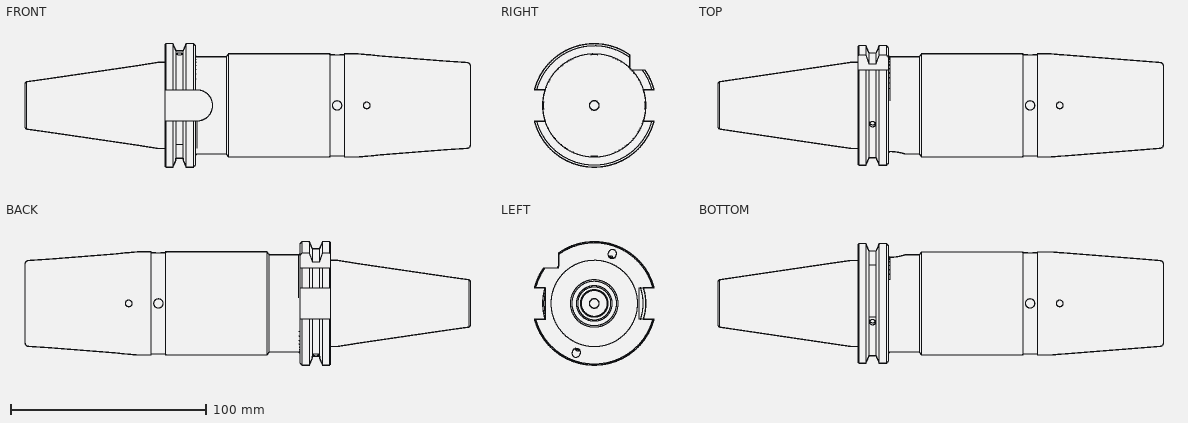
import cadquery as cq
import math


GAUGE_X = 68.3
GAUGE_RADIUS = 22.2
DIAMETER_TAPER = 7 / 24
SHANK_END_RADIUS = GAUGE_RADIUS - GAUGE_X * DIAMETER_TAPER / 2
SHANK_END_CHAMFER = 0.8

FLANGE_FRONT_X = 71.7
FLANGE_REAR_X = 87.5
FLANGE_RADIUS = 31.7
FLANGE_FRONT_CHAMFER = 0.7
FLANGE_REAR_CHAMFER = 1.1
GRIP_X = 79.3
GRIP_TOP_HALF_WIDTH = 3.5
GRIP_FLOOR_HALF_WIDTH = 1.8
GRIP_FLOOR_RADIUS = 28.0

NECK_RADIUS = 50.0 / 2
NECK_FILLET = 0.7
SHOULDER_X = 103.2
SHOULDER_LENGTH = 1.1
CHUCK_RADIUS = 26.5
BALANCE_GROOVE_X = (156.2, 163.8)
BALANCE_GROOVE_RADIUS = 26.0
NOSE_START_X = 170.6
NOSE_END_RADIUS = 22.0
LENGTH = 228.5
NOSE_FILLET = 2.0

SLOT_HALF_WIDTH = 8.0
SHALLOW_SLOT_Y = NECK_RADIUS
DEEP_SLOT_Y = 22.8
SLOT_END_X = 96.2
NOTCH_CORNER = 18.3

FLAT_ANGLE = 75.0
FLAT_DISTANCE = 24.5

ENTRY_BORE_RADIUS = 8.5
ENTRY_BORE_DEPTH = 9.5
ENTRY_CHAMFER = 0.7
BORE_RADIUS = 6.6
BORE_CHAMFER = 0.5
BORE_DEPTH = 114.2
COOLANT_BORE_RADIUS = 4.8 / 2
ADJUSTING_SCREW_LENGTH = 9.1

CHANNEL_RADIUS = 2.0
CHANNEL_PITCH_RADIUS = 27.0
CHANNEL_SLOPE = 30.0
CHANNEL_OVERRUN = 2.3
CHANNEL_TURNS = (20.0, 200.0)
CHANNEL_PLUG_RADIUS = 1.48
CHANNEL_PLUG_TOP = 25.1
CHANNEL_PLUG_BOTTOM = 20.5

QUARTER_TURNS = (0.0, 90.0, 180.0, 270.0)
BALANCE_HOLE_X = sum(BALANCE_GROOVE_X) / 2
BALANCE_HOLE_RADIUS = 4.8 / 2
BALANCE_HOLE_FLOOR = 20.5
DRILL_HALF_ANGLE = 59.0
PIN_X = 175.2
PIN_RADIUS = 1.71
PIN_FLOOR = 20.5
PIN_TOP = 25.4

SELECTION_MARGIN = 0.11


def turned_about_x(body, turn):
    """Turn a shape about the X axis; a turn of 0 leaves +Z up, a turn of 90 brings it to -Y."""
    return body.rotate((0, 0, 0), (1, 0, 0), turn)


def x_cylinder(radius, start_x, end_x):
    return cq.Workplane("YZ", origin=(start_x, 0, 0)).circle(radius).extrude(end_x - start_x)


def radial_cylinder(x, radius, bottom, top):
    """Cylinder along +Z between two distances from the X axis."""
    return cq.Workplane("XY", origin=(x, 0, bottom)).circle(radius).extrude(top - bottom)


def circle_at(x, radius):
    """Selector for the turned edges at one place along X, up to a given radius."""
    reach = radius + SELECTION_MARGIN
    low = (x - SELECTION_MARGIN, -reach, -reach)
    high = (x + SELECTION_MARGIN, reach, reach)
    return cq.selectors.BoxSelector(low, high, boundingbox=True)


def holder_blank():
    """Turned outside of the holder, from the small end of the taper to the nose."""
    profile = [
        (0, 0),
        (0, SHANK_END_RADIUS - SHANK_END_CHAMFER),
        (SHANK_END_CHAMFER, SHANK_END_RADIUS),
        (GAUGE_X, GAUGE_RADIUS),
        (FLANGE_FRONT_X, GAUGE_RADIUS),
        (FLANGE_FRONT_X, FLANGE_RADIUS - FLANGE_FRONT_CHAMFER),
        (FLANGE_FRONT_X + FLANGE_FRONT_CHAMFER, FLANGE_RADIUS),
        (GRIP_X - GRIP_TOP_HALF_WIDTH, FLANGE_RADIUS),
        (GRIP_X - GRIP_FLOOR_HALF_WIDTH, GRIP_FLOOR_RADIUS),
        (GRIP_X + GRIP_FLOOR_HALF_WIDTH, GRIP_FLOOR_RADIUS),
        (GRIP_X + GRIP_TOP_HALF_WIDTH, FLANGE_RADIUS),
        (FLANGE_REAR_X - FLANGE_REAR_CHAMFER, FLANGE_RADIUS),
        (FLANGE_REAR_X, FLANGE_RADIUS - FLANGE_REAR_CHAMFER),
        (FLANGE_REAR_X, NECK_RADIUS),
        (SHOULDER_X, NECK_RADIUS),
        (SHOULDER_X + SHOULDER_LENGTH, CHUCK_RADIUS),
        (BALANCE_GROOVE_X[0], CHUCK_RADIUS),
        (BALANCE_GROOVE_X[0], BALANCE_GROOVE_RADIUS),
        (BALANCE_GROOVE_X[1], BALANCE_GROOVE_RADIUS),
        (BALANCE_GROOVE_X[1], CHUCK_RADIUS),
        (NOSE_START_X, CHUCK_RADIUS),
        (LENGTH, NOSE_END_RADIUS),
        (LENGTH, 0),
    ]
    blank = cq.Workplane("XY").polyline(profile).close().revolve(360, (0, 0, 0), (1, 0, 0))
    blank = blank.faces(">X").edges().fillet(NOSE_FILLET)
    return blank.edges(circle_at(FLANGE_REAR_X, NECK_RADIUS)).fillet(NECK_FILLET)


def drive_slots():
    """One slot on each side; the deeper one, at -Y, runs into the neck with a round end."""
    width = 2 * SLOT_HALF_WIDTH
    flange_length = FLANGE_REAR_X - FLANGE_FRONT_X
    shallow = cq.Workplane("XY").box(flange_length, FLANGE_RADIUS, width, centered=(False, False, True))
    shallow = shallow.translate((FLANGE_FRONT_X, SHALLOW_SLOT_Y, 0))
    round_x = SLOT_END_X - SLOT_HALF_WIDTH
    deep = (
        cq.Workplane("XZ", origin=(0, -DEEP_SLOT_Y, 0))
        .moveTo(FLANGE_FRONT_X, -SLOT_HALF_WIDTH)
        .lineTo(round_x, -SLOT_HALF_WIDTH)
        .threePointArc((SLOT_END_X, 0), (round_x, SLOT_HALF_WIDTH))
        .lineTo(FLANGE_FRONT_X, SLOT_HALF_WIDTH)
        .close()
        .extrude(FLANGE_RADIUS)
    )
    return shallow.union(deep)


def orientation_notch():
    length = FLANGE_REAR_X - FLANGE_FRONT_X
    notch = cq.Workplane("XY").box(length, FLANGE_RADIUS, FLANGE_RADIUS, centered=False)
    return notch.translate((FLANGE_FRONT_X, NOTCH_CORNER, NOTCH_CORNER))


def grip_flat():
    """Flat across the groove floor, facing down and toward -Y."""
    width = 2 * GRIP_FLOOR_HALF_WIDTH
    flat = cq.Workplane("XY").box(width, 2 * FLANGE_RADIUS, FLANGE_RADIUS, centered=(True, True, False))
    return turned_about_x(flat.translate((GRIP_X, 0, FLAT_DISTANCE)), 90 + FLAT_ANGLE)


def bore():
    """Stepped bore from the small end of the taper; its narrowest step runs through to the nose."""
    profile = [
        (0, 0),
        (0, ENTRY_BORE_RADIUS + ENTRY_CHAMFER),
        (ENTRY_CHAMFER, ENTRY_BORE_RADIUS),
        (ENTRY_BORE_DEPTH, ENTRY_BORE_RADIUS),
        (ENTRY_BORE_DEPTH, BORE_RADIUS + BORE_CHAMFER),
        (ENTRY_BORE_DEPTH + BORE_CHAMFER, BORE_RADIUS),
        (BORE_DEPTH, BORE_RADIUS),
        (BORE_DEPTH, COOLANT_BORE_RADIUS),
        (LENGTH, COOLANT_BORE_RADIUS),
        (LENGTH, 0),
    ]
    return cq.Workplane("XY").polyline(profile).close().revolve(360, (0, 0, 0), (1, 0, 0))


def coolant_channel(turn):
    """Sloping channel from the flange face to the axis of the bore."""
    slope = math.radians(CHANNEL_SLOPE)
    direction = cq.Vector(math.cos(slope), 0, -math.sin(slope))
    start = cq.Vector(FLANGE_FRONT_X, 0, CHANNEL_PITCH_RADIUS) - direction * CHANNEL_OVERRUN
    length = CHANNEL_OVERRUN + CHANNEL_PITCH_RADIUS / math.sin(slope)
    channel = cq.Workplane(cq.Solid.makeCylinder(CHANNEL_RADIUS, length, start, direction))
    return turned_about_x(channel, turn)


def plug_hole(turn):
    hole = radial_cylinder(GRIP_X, CHANNEL_PLUG_RADIUS, CHANNEL_PLUG_BOTTOM, FLANGE_RADIUS)
    return turned_about_x(hole, turn)


def balance_hole(turn):
    """Blind drilled hole with a conical bottom."""
    point_depth = BALANCE_HOLE_RADIUS / math.tan(math.radians(DRILL_HALF_ANGLE))
    hole = (
        cq.Workplane("XZ")
        .polyline([
            (0, BALANCE_HOLE_FLOOR - point_depth),
            (BALANCE_HOLE_RADIUS, BALANCE_HOLE_FLOOR),
            (BALANCE_HOLE_RADIUS, CHUCK_RADIUS),
            (0, CHUCK_RADIUS),
        ])
        .close()
        .revolve(360, (0, 0, 0), (0, 1, 0))
    )
    return turned_about_x(hole.translate((BALANCE_HOLE_X, 0, 0)), turn)


def pin_hole(turn):
    return turned_about_x(radial_cylinder(PIN_X, PIN_RADIUS, PIN_FLOOR, CHUCK_RADIUS), turn)


def make_pin(turn):
    """Pin set slightly below the surface of the nose."""
    return turned_about_x(radial_cylinder(PIN_X, PIN_RADIUS, PIN_FLOOR, PIN_TOP), turn)


def make_channel_plug(turn):
    plug = radial_cylinder(GRIP_X, CHANNEL_PLUG_RADIUS, CHANNEL_PLUG_BOTTOM, CHANNEL_PLUG_TOP)
    return turned_about_x(plug, turn)


def make_adjusting_screw():
    """Plain cylindrical screw at the bottom of the bore, with a coolant hole through it."""
    start_x = BORE_DEPTH - ADJUSTING_SCREW_LENGTH
    screw = x_cylinder(BORE_RADIUS, start_x, BORE_DEPTH)
    return screw.cut(x_cylinder(COOLANT_BORE_RADIUS, start_x, BORE_DEPTH))


def make_holder():
    holder = holder_blank().cut(drive_slots()).cut(orientation_notch()).cut(grip_flat()).cut(bore())
    for turn in CHANNEL_TURNS:
        holder = holder.cut(coolant_channel(turn)).cut(plug_hole(turn))
    for turn in QUARTER_TURNS:
        holder = holder.cut(balance_hole(turn)).cut(pin_hole(turn))
    return holder


holder = make_holder()
adjusting_screw = make_adjusting_screw()
channel_plugs = [make_channel_plug(turn) for turn in CHANNEL_TURNS]
pins = [make_pin(turn) for turn in QUARTER_TURNS]

result = cq.Compound.makeCompound([
    holder.val(),
    adjusting_screw.val(),
    *[plug.val() for plug in channel_plugs],
    *[pin.val() for pin in pins],
])